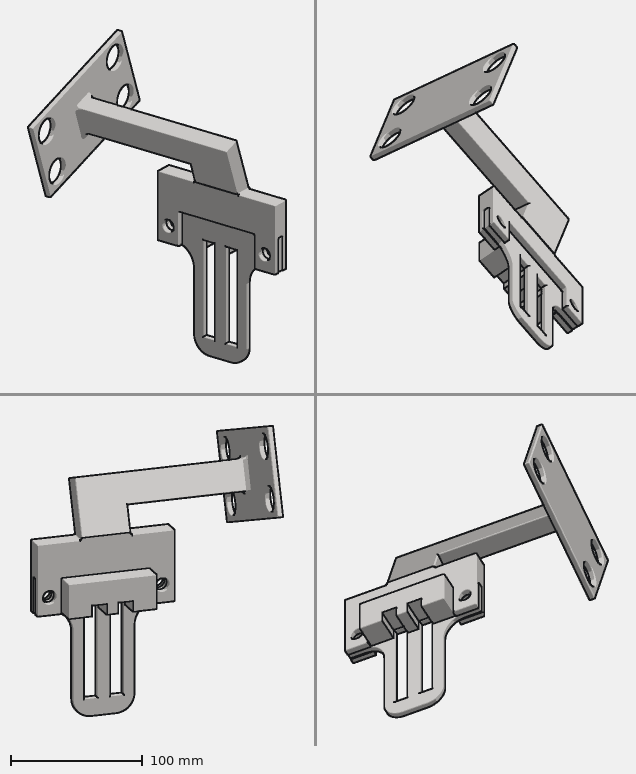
import cadquery as cq
import math

selection_margin = 0.02
edge_radius = 1.0
bar_thickness = 15.0

block_width = 111.2
block_height = 57.9
block_bottom = 86.0
block_top = block_bottom + block_height
block_right = 180.5
block_middle = block_right - block_width / 2
block_face = bar_thickness / 2
bolt_diameter = 10.0
bolt_spacing = 91.0
bolt_height = 100.7

slot_thickness = 5.0
window_width = 71.5
window_top = 115.0

plate_thickness = 5.0
plate_length = 122.0
plate_height = 70.0
plate_tilt = 19.3
plate_middle_y = -10.7
plate_middle_z = 175.0
plate_hole_diameter = 20.0
plate_hole_length_spacing = 92.0
plate_hole_height_spacing = 40.0

arm_height = 25
arm_root_radius = 5.0
foot_width = 39.9
foot_left = block_middle - foot_width / 2
foot_right = block_middle + foot_width / 2

tongue_width = 50
tongue_tip_radius = 15.0
head_bottom = 86.8
shoulder_radius = 17.5
boss_standout = 15.0
boss_reach = block_face + boss_standout
strap_slot_width = 10.0
strap_slot_length = 79.7
strap_slot_spacing = 21.2
strap_slot_bottom = 15.0


def box(x_range, y_range, z_range):
    """Box spanning the given coordinate ranges."""
    sizes = [high - low for low, high in (x_range, y_range, z_range)]
    corner = (x_range[0], y_range[0], z_range[0])
    return cq.Workplane("XY").box(*sizes, centered=False).translate(corner)


def make_plate():
    """Mounting plate before tilting, centred on the X axis, with a hole in each corner."""
    plate = cq.Workplane("YZ").rect(plate_length, plate_height).extrude(plate_thickness)
    holes = (
        cq.Workplane("YZ")
        .rect(plate_hole_length_spacing, plate_hole_height_spacing, forConstruction=True)
        .vertices()
        .circle(plate_hole_diameter / 2)
        .extrude(plate_thickness)
    )
    return plate.cut(holes).edges().fillet(edge_radius)


def make_arm():
    """L-shaped bar from the back of the plate, its foot running past the block's top."""
    foot_reach = (plate_middle_z - block_top) / math.cos(math.radians(plate_tilt)) + bar_thickness
    outline = [
        (plate_thickness, arm_height / 2),
        (foot_right, arm_height / 2),
        (foot_right, -foot_reach),
        (foot_left, -foot_reach),
        (foot_left, -arm_height / 2),
        (plate_thickness, -arm_height / 2),
    ]
    arm = cq.Workplane("XZ").polyline(outline).close().extrude(bar_thickness / 2, both=True)
    return arm.faces("|Y or >X").edges("not(<X or <Z)").fillet(edge_radius)


def make_support():
    """Plate and arm, tilted together, with the foot trimmed where it enters the block."""
    support = make_plate().union(make_arm())
    root_reach = arm_height / 2 + edge_radius
    root = cq.selectors.BoxSelector(
        (plate_thickness - selection_margin, -root_reach, -root_reach),
        (plate_thickness + selection_margin, root_reach, root_reach),
        boundingbox=True,
    )
    support = support.edges(root).fillet(arm_root_radius)
    support = support.rotate((0, 0, 0), (1, 0, 0), plate_tilt)
    support = support.translate((0, plate_middle_y, plate_middle_z))
    below_foot = box(
        (plate_thickness + arm_root_radius, block_right),
        (-plate_length, plate_length),
        (0, block_top),
    )
    behind_block = box(
        (foot_left - edge_radius, block_right),
        (block_face, plate_length),
        (0, plate_middle_z),
    )
    return support.cut(below_foot).cut(behind_block)


def make_bolt_holes():
    """Pair of cylinders that cut the bolt holes through the block and the tongue's head."""
    centres = [(block_middle + side * bolt_spacing / 2, bolt_height) for side in (-1, 1)]
    return (
        cq.Workplane("XZ").pushPoints(centres).circle(bolt_diameter / 2).extrude(block_face, both=True)
    )


def make_foot_seat():
    """Base of the foot, flush with the block's faces and flared onto its top on either side."""
    low = block_top - 2 * edge_radius
    high = block_top + edge_radius
    bend = edge_radius * (1 - math.sqrt(0.5))
    return (
        cq.Workplane("XZ")
        .moveTo(foot_left - edge_radius, low)
        .lineTo(foot_left - edge_radius, block_top)
        .threePointArc((foot_left - bend, block_top + bend), (foot_left, high))
        .lineTo(foot_right, high)
        .threePointArc((foot_right + bend, block_top + bend), (foot_right + edge_radius, block_top))
        .lineTo(foot_right + edge_radius, low)
        .close()
        .extrude(block_face, both=True)
    )


def make_block():
    """Clamp block with its slot, window and bolt holes, and the seat under the foot."""
    block_left = block_right - block_width
    block = box((block_left, block_right), (-block_face, block_face), (block_bottom, block_top))
    slot = box(
        (block_left, block_right),
        (-slot_thickness / 2, slot_thickness / 2),
        (block_bottom, window_top),
    )
    slot = slot.edges("|X and >Z").fillet(edge_radius)
    window = box(
        (block_middle - window_width / 2, block_middle + window_width / 2),
        (-block_face, block_face),
        (block_bottom, window_top),
    )
    window = window.edges("|Y and >Z").fillet(edge_radius)
    block = block.cut(slot).cut(window).cut(make_bolt_holes())
    block = block.faces("<X or >X or <Y or >Y").edges().fillet(edge_radius)
    return block.union(make_foot_seat())


def make_strap_slots(margin):
    """Pair of bars that cut the strap slots, larger by the margin on every side."""
    middle_z = strap_slot_bottom + strap_slot_length / 2
    centres = [(block_middle + side * strap_slot_spacing / 2, middle_z) for side in (-1, 1)]
    return (
        cq.Workplane("XZ")
        .pushPoints(centres)
        .rect(strap_slot_width + 2 * margin, strap_slot_length + 2 * margin)
        .extrude(boss_reach, both=True)
    )


def make_tongue():
    """T-shaped tongue: its head fills the slot, its boss fills the window and stands out behind."""
    half = tongue_width / 2
    head_half = block_width / 2
    shoulder = half + shoulder_radius
    shoulder_end = head_bottom - shoulder_radius
    diagonal = shoulder_radius * math.sqrt(0.5)
    tongue = (
        cq.Workplane("XZ")
        .moveTo(-head_half, window_top)
        .lineTo(head_half, window_top)
        .lineTo(head_half, head_bottom)
        .lineTo(shoulder, head_bottom)
        .threePointArc((shoulder - diagonal, shoulder_end + diagonal), (half, shoulder_end))
        .lineTo(half, 0)
        .lineTo(-half, 0)
        .lineTo(-half, shoulder_end)
        .threePointArc((diagonal - shoulder, shoulder_end + diagonal), (-shoulder, head_bottom))
        .lineTo(-head_half, head_bottom)
        .close()
        .extrude(slot_thickness / 2, both=True)
        .edges("|Y and <Z").fillet(tongue_tip_radius)
        .edges("|Y and (<X or >X)").fillet(edge_radius)
        .translate((block_middle, 0, 0))
    )
    tongue = tongue.cut(make_strap_slots(0))
    tongue = tongue.faces("<Y or >Y").edges().fillet(edge_radius)
    boss = box(
        (block_middle - window_width / 2, block_middle + window_width / 2),
        (0, boss_reach),
        (head_bottom, window_top),
    )
    boss = boss.edges("|Y or >Y").fillet(edge_radius).cut(make_strap_slots(edge_radius))
    return tongue.union(boss).cut(make_bolt_holes())


bracket = make_block().union(make_support())
tongue = make_tongue()
result = cq.Compound.makeCompound([bracket.solids().val(), tongue.solids().val()])